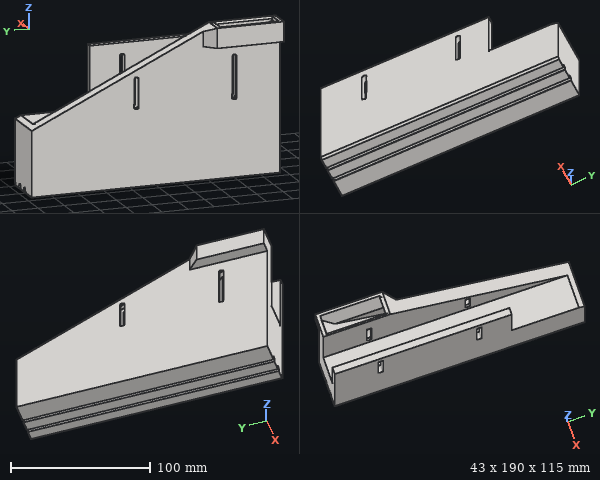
import cadquery as cq

overall_width = 43.0
length = 190.0
height = 115.0
rear_height = 49.8

overhang = 8.0
box_length = 51.0
box_bottom = 100.0
rim_side = 2.3
rim_end = 3.0
rim_bevel = 1.7

tall_wall_inner = 17.7
short_wall_thickness = 5.1
short_wall_height = box_bottom
short_wall_length = 134.5
floor_height = 51.9

cavity_outer_x = 9.7
cavity_floor_front = 112.1
chute_rear = 116.7

slot_width = 3.6
relief_width = 7.2
slot_bottom = 58.1
slot_top = 91.5
short_slot_top = 81.9
front_slot_y = 35.0
rear_slot_y = 109.8

groove_centers = (23.0, 32.9)
groove_radius = 1.9
groove_height = 1.62
bottom_chamfer = 1.7

cavity_inner_x = tall_wall_inner - rim_bevel
short_wall_inner = overall_width - short_wall_thickness


def block(x_range, y_range, z_range):
    """Box spanning the given coordinate ranges."""
    (x0, x1), (y0, y1), (z0, z1) = x_range, y_range, z_range
    return cq.Workplane("XY").box(x1 - x0, y1 - y0, z1 - z0, centered=False).translate((x0, y0, z0))


def side_prism(points, x_start, x_end):
    """Extrude a (Y, Z) outline along X."""
    return cq.Workplane("YZ").workplane(offset=x_start).polyline(points).close().extrude(x_end - x_start)


def front_prism(points, y_start, y_end):
    """Extrude an (X, Z) outline along Y."""
    outline = cq.Workplane("XZ").workplane(offset=-y_start).polyline(points).close()
    return outline.extrude(y_start - y_end)


def wall_slot(y_center, top, x_start, x_end, width=slot_width):
    """Upright round-ended slot cutter."""
    slot_length = top - slot_bottom + width - slot_width
    return (
        cq.Workplane("YZ")
        .workplane(offset=x_start)
        .center(y_center, (slot_bottom + top) / 2)
        .slot2D(slot_length, width, 90)
        .extrude(x_end - x_start)
    )


def sloped_body():
    """Tall wall, base and overhanging box, trimmed by the sloped top."""
    profile = [(0, 0), (length, 0), (length, rear_height), (box_length, height), (0, height)]
    body = side_prism(profile, overhang, overall_width)
    box_plan = [(0, 0), (overhang, 0), (overhang, box_length + overhang), (0, box_length)]
    box = cq.Workplane("XY").workplane(offset=box_bottom).polyline(box_plan).close()
    box = box.extrude(height - box_bottom)
    box = box.intersect(side_prism(profile, 0, overhang))
    channel = block((tall_wall_inner, overall_width), (0, length), (floor_height, height))
    return body.union(box).cut(channel)


def short_wall():
    """Separate upright wall on the +X side."""
    return block((short_wall_inner, overall_width), (0, short_wall_length), (0, short_wall_height))


def hopper_cavity():
    """Funnel mouth feeding a narrow chute that runs down under the sloped top."""
    funnel_drop = cavity_outer_x - rim_side
    section = [
        (rim_side, height),
        (cavity_outer_x, height - funnel_drop),
        (cavity_outer_x, floor_height),
        (cavity_inner_x, floor_height),
        (cavity_inner_x, height - rim_bevel),
        (tall_wall_inner, height),
    ]
    mouth_rear = box_length - rim_end
    top_slope = (height - rear_height) / (length - box_length)
    ceiling_rear = height - top_slope * (chute_rear - mouth_rear)
    lengthwise = [
        (rim_end, cavity_floor_front),
        (chute_rear, floor_height),
        (chute_rear, ceiling_rear),
        (mouth_rear, height),
        (rim_end, height),
    ]
    plan = [
        (rim_side, rim_end),
        (tall_wall_inner, rim_end),
        (tall_wall_inner, mouth_rear),
        (cavity_inner_x, mouth_rear),
        (cavity_inner_x, chute_rear),
        (cavity_outer_x, chute_rear),
        (cavity_outer_x, mouth_rear + funnel_drop),
        (rim_side, mouth_rear),
    ]
    space = front_prism(section, rim_end, chute_rear)
    space = space.intersect(side_prism(lengthwise, 0, overall_width))
    return space.intersect(cq.Workplane("XY").polyline(plan).close().extrude(height))


result = sloped_body().union(short_wall()).cut(hopper_cavity())

result = result.cut(wall_slot(front_slot_y, slot_top, 0, overall_width))
result = result.cut(wall_slot(rear_slot_y, short_slot_top, 0, tall_wall_inner))
result = result.cut(wall_slot(rear_slot_y, slot_top, short_wall_inner, overall_width))

for slot_y, top in ((front_slot_y, slot_top), (rear_slot_y, short_slot_top)):
    result = result.cut(wall_slot(slot_y, top, cavity_outer_x, cavity_inner_x, relief_width))

for groove_x in groove_centers:
    groove = cq.Workplane("XZ").center(groove_x, groove_height).circle(groove_radius).extrude(-length)
    result = result.cut(groove)

chamfer_corner = [
    (overall_width - bottom_chamfer, 0),
    (overall_width, 0),
    (overall_width, bottom_chamfer),
]
result = result.cut(front_prism(chamfer_corner, 0, length))